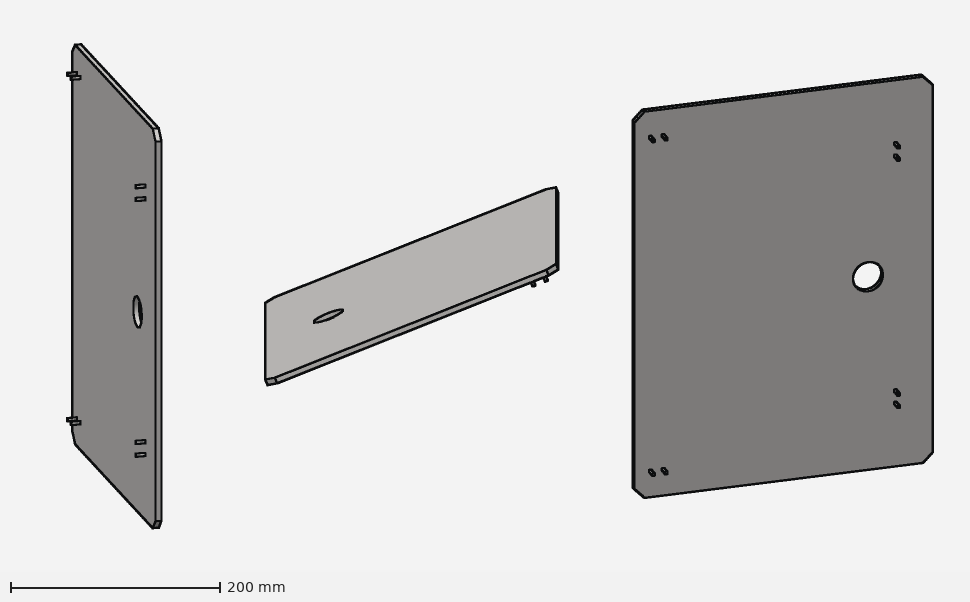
import cadquery as cq

width = 300.0
height = 400.0
total_depth = 15.0
plate_thickness = 6.0
corner_cut = 10.0

hole_diameter = 30.0
hole_from_right = 65.0

pin_diameter = 3.0
pin_length = total_depth - plate_thickness
pin_spacing = 13.0
left_pair_from_edge = 16.0
left_pair_height = 173.0
right_pair_from_edge = 37.5
right_pair_height = 121.5


def make_plate():
    """Rectangular plate with its four corners cut at 45 degrees."""
    plate = cq.Workplane("XY").box(width, plate_thickness, height)
    return plate.edges("|Y").chamfer(corner_cut)


def pin_positions():
    """X, Z centres of the pins, mirrored about mid-height."""
    left_x = -width / 2 + left_pair_from_edge
    right_x = width / 2 - right_pair_from_edge
    positions = []
    for side in (1, -1):
        for offset in (0, pin_spacing):
            positions.append((left_x + offset, side * left_pair_height))
            positions.append((right_x, side * (right_pair_height + offset)))
    return positions


plate = make_plate()

front_plane = cq.Workplane("XZ", origin=(0, -plate_thickness / 2, 0))
hole_x = width / 2 - hole_from_right
hole = front_plane.center(hole_x, 0).circle(hole_diameter / 2).extrude(-plate_thickness)

back_plane = cq.Workplane("XZ", origin=(0, plate_thickness / 2, 0))
pins = back_plane.pushPoints(pin_positions()).circle(pin_diameter / 2).extrude(plate_thickness + pin_length)

result = plate.cut(hole).union(pins)